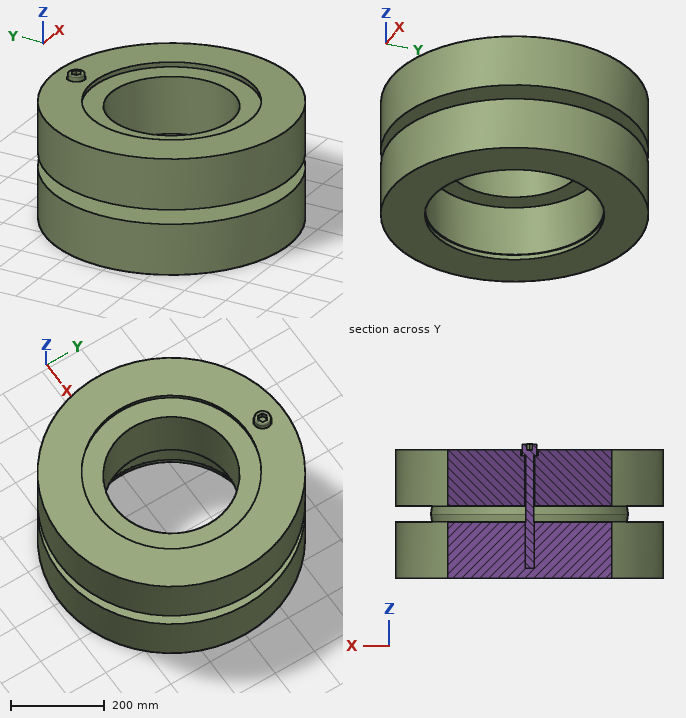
import cadquery as cq
import math


ring_diameter = 570.0
ring_height = 120.0
ring_gap = 34.0
total_ring_height = 2 * ring_height + ring_gap
middle_z = total_ring_height / 2
upper_ring_z = ring_height + ring_gap

cone_middle_diameter = 420.5
cone_end_diameter = 382.0

end_recess = 12.0
bore_diameter = 290.0
bore_length = 135.0
counterbore_diameter = 380.0
inner_ring_height = total_ring_height - 2 * end_recess

screw_circle_diameter = 465.0
screw_y = screw_circle_diameter / 2
shank_diameter = 24.0
shank_length = 240.0
head_diameter = 36.0
head_height = 24.0
head_edge_radius = 2.4
socket_sides = 6
socket_width = 19.0
socket_depth = 12.0
socket_drill_angle = 120.0
socket_cone_height = socket_width / 2 / math.tan(math.radians(socket_drill_angle / 2))

clearance_diameter = 26.0
head_recess_diameter = 40.0
head_recess_depth = 12.0
head_seat_z = total_ring_height - head_recess_depth
screw_tip_z = head_seat_z - shank_length


def cylinder(diameter, bottom_z, height, y=0.0):
    """Upright cylinder centred at X = 0 and the given Y."""
    return cq.Workplane("XY", origin=(0, y, bottom_z)).circle(diameter / 2).extrude(height)


def make_double_cone():
    """Solid widest at the middle plane, narrowing to both outer faces of the rings."""
    end_radius = cone_end_diameter / 2
    profile = [
        (0, 0),
        (end_radius, 0),
        (cone_middle_diameter / 2, middle_z),
        (end_radius, total_ring_height),
        (0, total_ring_height),
    ]
    return cq.Workplane("XZ").polyline(profile).close().revolve(360, (0, 0, 0), (0, 1, 0))


def make_clamping_ring(bottom_z):
    """Plain ring whose bore is the matching half of the double cone."""
    return cylinder(ring_diameter, bottom_z, ring_height).cut(make_double_cone())


def make_lower_ring():
    """Clamping ring with a blind hole that holds the end of the screw."""
    screw_hole = cylinder(shank_diameter, screw_tip_z, ring_height - screw_tip_z, screw_y)
    return make_clamping_ring(0).cut(screw_hole)


def make_upper_ring():
    """Clamping ring with a clearance hole and a recess for the screw head."""
    clearance_hole = cylinder(clearance_diameter, upper_ring_z, ring_height, screw_y)
    head_recess = cylinder(head_recess_diameter, head_seat_z, head_recess_depth, screw_y)
    return make_clamping_ring(upper_ring_z).cut(clearance_hole).cut(head_recess)


def make_inner_ring():
    """Double cone, shorter than the ring stack, with a bore that widens toward the base."""
    envelope = cylinder(cone_middle_diameter, end_recess, inner_ring_height)
    bore = cylinder(bore_diameter, end_recess, inner_ring_height)
    counterbore = cylinder(counterbore_diameter, end_recess, inner_ring_height - bore_length)
    return make_double_cone().intersect(envelope).cut(bore).cut(counterbore)


def make_screw():
    """Socket head screw with a rounded head edge and a hexagon socket ending in a drill cone."""
    shank = cylinder(shank_diameter, screw_tip_z, shank_length, screw_y)
    head = cylinder(head_diameter, head_seat_z, head_height, screw_y)
    head = head.faces(">Z").edges().fillet(head_edge_radius)

    head_top_z = head_seat_z + head_height
    corner_diameter = socket_width / math.cos(math.pi / socket_sides)
    socket = (
        cq.Workplane("XY", origin=(0, screw_y, head_top_z))
        .transformed(rotate=(0, 0, 90))
        .polygon(socket_sides, corner_diameter)
        .extrude(-socket_depth)
    )
    drill_tip = cq.Workplane(
        cq.Solid.makeCone(
            0,
            socket_width / 2,
            socket_cone_height,
            pnt=cq.Vector(0, screw_y, head_top_z - socket_depth - socket_cone_height),
        )
    )
    return head.union(shank).cut(socket).cut(drill_tip)


lower_ring = make_lower_ring()
upper_ring = make_upper_ring()
inner_ring = make_inner_ring()
screw = make_screw()

result = cq.Compound.makeCompound(
    [body.solids().val() for body in (lower_ring, upper_ring, inner_ring, screw)]
)